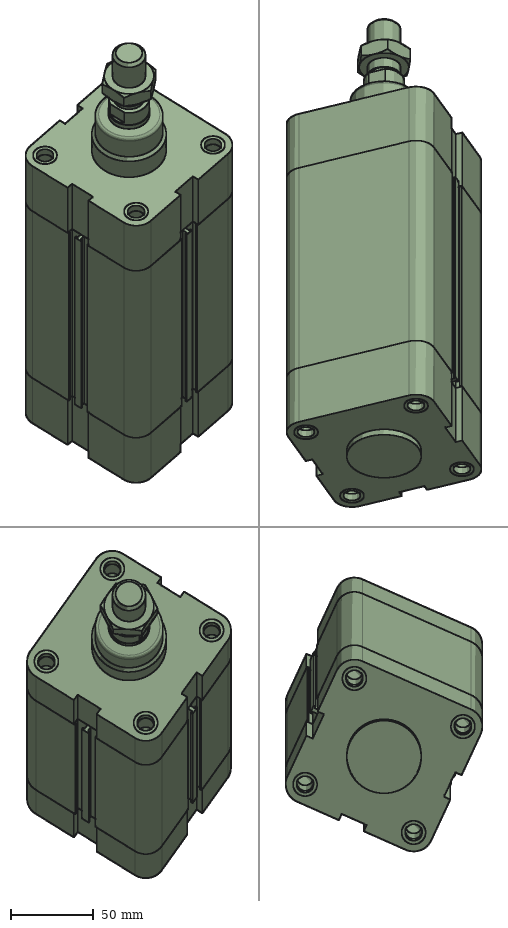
import cadquery as cq
import math


cap_length = 40.0
barrel_length = 148.0
rear_boss_height = 4.0
barrel_bottom = cap_length
barrel_top = barrel_bottom + barrel_length
front_face = barrel_top + cap_length

housing_width = 95.5
housing_corner_radius = 11.75

groove_depth = 4.2
groove_angles = (-90, 90, 0)
cap_groove_width = 16.5
lip_thickness = 1.2
groove_opening_width = 14.5
rib_head_width = 5.0
rib_stem_width = 2.5

hole_spacing = 72.0
entry_diameter = 10.2
entry_depth = 5.0
hole_diameter = 10.0
hole_depth = 20.0
drill_point_angle = 118.0
counterbore_diameter = 14.5
counterbore_depth = 0.2

boss_diameter = 45.0
collar_diameter = 41.0
boss_height = 14.0
shoulder_height = 2.0
collar_height = 32.0
collar_fillet = 2.0

rod_top = front_face + 86.0
rod_diameter = 25.0
flats_section_diameter = 24.5
flats_section_bottom = rod_top - 50.6
flats_section_top = rod_top - 40.0
flats_bottom = flats_section_bottom + 1.8
width_across_flats = 22.0
neck_diameter = 18.5
neck_top = rod_top - 36.8
thread_diameter = 20.0
thread_chamfer = 2.0

nut_across_flats = 30.0
nut_height = 10.0
nut_top = rod_top - 20.2
nut_chamfer_angle = 30.0
nut_face_diameter = nut_across_flats


def square_bar(bottom, length):
    """Square housing block along Z with rounded corners."""
    return (
        cq.Workplane("XY", origin=(0, 0, bottom))
        .rect(housing_width, housing_width)
        .extrude(length)
        .edges("|Z")
        .fillet(housing_corner_radius)
    )


def side_strip(width, outer_depth, inner_depth, bottom, length):
    """Strip in the -Y side, spanning two depths below that side."""
    return cq.Workplane("XY", origin=(0, 0, bottom)).box(
        width, inner_depth - outer_depth, length, centered=(True, False, False)
    ).translate((0, outer_depth - housing_width / 2, 0))


def cap_groove(bottom):
    """Plain rectangular groove in the -Y side of a cap."""
    return side_strip(cap_groove_width, 0, groove_depth, bottom, cap_length)


def barrel_groove():
    """Pair of undercut sensor grooves with a T-shaped rib left between them."""
    def strip(width, outer_depth, inner_depth):
        return side_strip(width, outer_depth, inner_depth, barrel_bottom, barrel_length)

    opening = strip(groove_opening_width, 0, lip_thickness)
    undercut = strip(cap_groove_width, lip_thickness, groove_depth)
    rib_head = strip(rib_head_width, 0, lip_thickness)
    rib_stem = strip(rib_stem_width, lip_thickness, groove_depth)
    return opening.cut(rib_head).union(undercut.cut(rib_stem))


def cut_grooves(body, groove):
    """Cut the -Y groove into each grooved side."""
    for angle in groove_angles:
        body = body.cut(groove.rotate((0, 0, 0), (0, 0, 1), angle))
    return body


def corner_hole():
    """Counterbored blind hole with a drill point, entering at Z = 0 and running down."""
    entry_radius = entry_diameter / 2
    hole_radius = hole_diameter / 2
    counterbore_radius = counterbore_diameter / 2
    point_depth = hole_radius / math.tan(math.radians(drill_point_angle / 2))
    return (
        cq.Workplane("XZ")
        .polyline([
            (0, 0),
            (counterbore_radius, 0),
            (counterbore_radius, -counterbore_depth),
            (entry_radius, -counterbore_depth),
            (entry_radius, -entry_depth),
            (hole_radius, -entry_depth),
            (hole_radius, -hole_depth),
            (0, -hole_depth - point_depth),
        ])
        .close()
        .revolve(360, (0, 0, 0), (0, 1, 0))
    )


def cut_corner_holes(cap, hole):
    """Cut the hole into all four corners of a cap."""
    half_spacing = hole_spacing / 2
    for x in (-half_spacing, half_spacing):
        for y in (-half_spacing, half_spacing):
            cap = cap.cut(hole.translate((x, y, 0)))
    return cap


def make_cap(bottom):
    """Grooved cap block shared by both ends."""
    return cut_grooves(square_bar(bottom, cap_length), cap_groove(bottom))


def make_front_cap():
    """Cap with the stepped boss, bored for the rod."""
    boss_radius = boss_diameter / 2
    collar_radius = collar_diameter / 2
    collar_top = front_face + collar_height
    boss = (
        cq.Workplane("XZ")
        .polyline([
            (0, front_face),
            (boss_radius, front_face),
            (boss_radius, front_face + boss_height),
            (collar_radius, front_face + boss_height + shoulder_height),
            (collar_radius, collar_top),
            (0, collar_top),
        ])
        .close()
        .revolve(360, (0, 0, 0), (0, 1, 0))
        .faces(">Z")
        .edges()
        .fillet(collar_fillet)
    )
    rod_bore = (
        cq.Workplane("XY", origin=(0, 0, barrel_top))
        .circle(rod_diameter / 2)
        .extrude(cap_length + collar_height)
    )
    cap = make_cap(barrel_top).union(boss).cut(rod_bore)
    return cut_corner_holes(cap, corner_hole().translate((0, 0, front_face)))


def make_rear_cap():
    """Cap with a short centring boss on its outer face."""
    boss = (
        cq.Workplane("XY", origin=(0, 0, -rear_boss_height))
        .circle(boss_diameter / 2)
        .extrude(rear_boss_height)
    )
    return cut_corner_holes(make_cap(0).union(boss), corner_hole().mirror("XY"))


def make_barrel():
    """Profiled barrel between the caps."""
    bar = square_bar(barrel_bottom, barrel_length)
    return cut_grooves(bar, barrel_groove())


def make_rod():
    """Rod with wrench flats, undercut neck and threaded end."""
    rod_radius = rod_diameter / 2
    flats_section_radius = flats_section_diameter / 2
    neck_radius = neck_diameter / 2
    thread_radius = thread_diameter / 2
    rod = (
        cq.Workplane("XZ")
        .polyline([
            (0, barrel_top),
            (rod_radius, barrel_top),
            (rod_radius, flats_section_bottom),
            (flats_section_radius, flats_section_bottom),
            (flats_section_radius, flats_section_top),
            (neck_radius, flats_section_top),
            (neck_radius, neck_top),
            (thread_radius, neck_top),
            (thread_radius, rod_top - thread_chamfer),
            (thread_radius - thread_chamfer, rod_top),
            (0, rod_top),
        ])
        .close()
        .revolve(360, (0, 0, 0), (0, 1, 0))
    )
    flat_distance = width_across_flats / 2
    ramp_size = rod_radius - flat_distance
    flat_cutter = (
        cq.Workplane("YZ")
        .polyline([
            (flat_distance, flats_section_top),
            (flat_distance, flats_bottom),
            (rod_radius, flats_bottom - ramp_size),
            (rod_radius, flats_section_top),
        ])
        .close()
        .extrude(rod_radius, both=True)
    )
    return rod.cut(flat_cutter).cut(flat_cutter.mirror("XZ"))


def make_nut():
    """Hexagon nut with corners on X, chamfered on both faces."""
    across_corners = nut_across_flats / math.cos(math.pi / 6)
    corner_radius = across_corners / 2
    face_radius = nut_face_diameter / 2
    chamfer_height = (corner_radius - face_radius) * math.tan(math.radians(nut_chamfer_angle))
    nut_bottom = nut_top - nut_height
    hexagon = cq.Workplane("XY", origin=(0, 0, nut_bottom)).polygon(6, across_corners).extrude(nut_height)
    chamfered_disc = (
        cq.Workplane("XZ")
        .polyline([
            (0, nut_bottom),
            (face_radius, nut_bottom),
            (corner_radius, nut_bottom + chamfer_height),
            (corner_radius, nut_top - chamfer_height),
            (face_radius, nut_top),
            (0, nut_top),
        ])
        .close()
        .revolve(360, (0, 0, 0), (0, 1, 0))
    )
    thread_radius = thread_diameter / 2
    thread_hole = cq.Workplane("XY", origin=(0, 0, nut_bottom)).circle(thread_radius).extrude(nut_height)
    return hexagon.intersect(chamfered_disc).cut(thread_hole)


front_cap = make_front_cap()
rear_cap = make_rear_cap()
barrel = make_barrel()
rod = make_rod()
nut = make_nut()

result = cq.Compound.makeCompound([
    front_cap.val(),
    rear_cap.val(),
    barrel.val(),
    rod.val(),
    nut.val(),
])